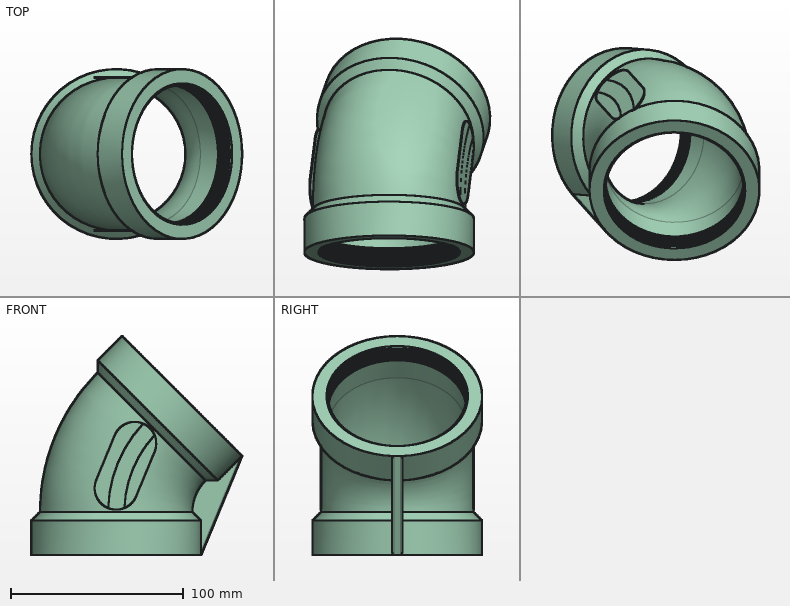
import cadquery as cq
import math

bend_angle = 45.0
bend_radius = 70.0
end_to_corner = 54.0

collar_diameter = 98.5
collar_height = 20.0
neck_diameter = 88.5
bore_diameter = 80.0
entry_chamfer = 1.0

groove_count = 6
groove_pitch = 1.75
groove_width = 0.9
groove_depth = 0.6

pad_center_spacing = 28.0
pad_width = 25.0
pad_height = 0.25
pad_thickness = 0.5

web_thickness = 6.0
web_edge_radius = 1.0

collar_radius = collar_diameter / 2
neck_radius = neck_diameter / 2
bore_radius = bore_diameter / 2
half_angle = math.radians(bend_angle / 2)
sine = math.sin(math.radians(bend_angle))
cosine = math.cos(math.radians(bend_angle))

straight_length = end_to_corner - bend_radius * math.tan(half_angle)

lower_end = cq.Plane(origin=(0, 0, 0), xDir=(1, 0, 0), normal=(0, 0, 1))
upper_end = cq.Plane(
    origin=(end_to_corner * sine, 0, end_to_corner * (1 + cosine)),
    xDir=(cosine, 0, -sine),
    normal=(-sine, 0, -cosine),
)
end_planes = [lower_end, upper_end]


def revolved(plane, outline):
    """Solid of revolution about the axis of an end, from (radius, depth) points."""
    profile_normal = plane.xDir.cross(plane.zDir)
    profile_plane = cq.Plane(origin=plane.origin, xDir=plane.xDir, normal=profile_normal)
    return cq.Workplane(profile_plane).polyline(outline).close().revolve(360, (0, 0), (0, 1))


def bent_bar(radius):
    """Round bar that follows the bend between the two straight ends."""
    section = cq.Workplane("XY", origin=(0, 0, straight_length)).circle(radius)
    return section.revolve(bend_angle, (bend_radius, 0), (bend_radius, 1))


def collar(plane):
    """Solid collar that tapers down to the neck."""
    return revolved(plane, [
        (0, 0),
        (collar_radius, 0),
        (collar_radius, collar_height),
        (neck_radius, straight_length),
        (0, straight_length),
    ])


def web():
    """Flat web that spans from the rim of one end to the rim of the other."""
    lower_rim = lower_end.toWorldCoords((collar_radius, 0, 0))
    upper_rim = upper_end.toWorldCoords((collar_radius, 0, 0))
    corner = lower_end.toWorldCoords((0, 0, end_to_corner))
    corners = (lower_end.origin, lower_rim, upper_rim, upper_end.origin, corner)
    outline = [(point.x, point.z) for point in corners]
    plate = cq.Workplane("XZ").polyline(outline).close().extrude(web_thickness / 2, both=True)

    outer_edges = cq.selectors.ParallelDirSelector(upper_rim - lower_rim)
    return plate.edges(outer_edges).fillet(web_edge_radius)


def pad(side):
    """Thin oblong plate on one side (-1 or 1) at the middle of the bend."""
    middle_x = bend_radius * (1 - math.cos(half_angle))
    middle_z = straight_length + bend_radius * math.sin(half_angle)
    slot_angle = 90 - bend_angle / 2
    outer_face = neck_radius + pad_height
    plate_plane = cq.Workplane("XZ", origin=(middle_x, side * outer_face, middle_z))
    slot = plate_plane.slot2D(pad_center_spacing + pad_width, pad_width, slot_angle)
    return slot.extrude(side * pad_thickness)


def end_bore(plane):
    """Straight bore of an end with its entry chamfer."""
    return revolved(plane, [
        (0, 0),
        (bore_radius + entry_chamfer, 0),
        (bore_radius, entry_chamfer),
        (bore_radius, straight_length),
        (0, straight_length),
    ])


def thread_groove(plane, start):
    """V-shaped ring cutter that begins at the given depth inside an end."""
    return revolved(plane, [
        (bore_radius, start),
        (bore_radius + groove_depth, start + groove_width / 2),
        (bore_radius, start + groove_width),
    ])


body = bent_bar(neck_radius).union(web())
for pad_side in (-1, 1):
    body = body.union(pad(pad_side))
for end_plane in end_planes:
    body = body.union(collar(end_plane))

body = body.cut(bent_bar(bore_radius))
for end_plane in end_planes:
    body = body.cut(end_bore(end_plane))
    for groove_index in range(groove_count):
        groove_start = entry_chamfer + groove_index * groove_pitch
        body = body.cut(thread_groove(end_plane, groove_start))

result = body